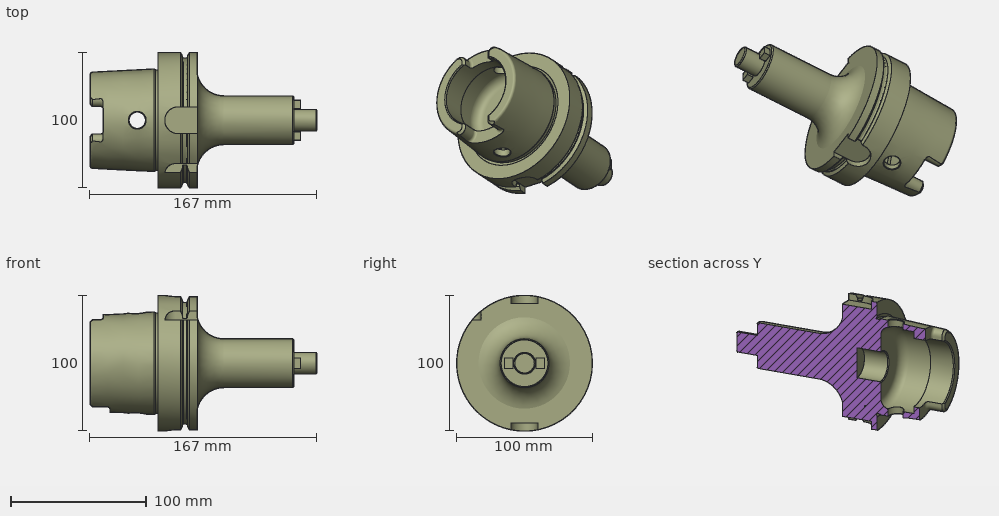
import cadquery as cq
import math


taper_end = 47.1
flange_start = 50.0
flange_end = 79.0
shank_start = 98.5
shank_end = 150.0
total_length = 167.0

taper_tip_radius = 35.4
taper_big_radius = 75.7 / 2
taper_tip_rounding = 2.0

relief_radius = 37.0
relief_bevel = 1.2
face_recess_radius = 39.4
face_recess_depth = 0.8

flange_radius = 100.0 / 2
groove_start = 66.5
groove_end = 73.1
groove_bevel_width = 1.5
groove_wall_radius = 47.5
groove_floor_radius = 46.0
groove_corner_rounding = 0.8

neck_rounding = 20.0
shank_radius = 18.0
pilot_radius = 8.0
end_chamfer = 0.8
key_length = 5.0
key_width = 7.7
key_span = 29.7
key_gap = 17.0

bore_radius = 26.5
bore_chamfer = 0.8
bore_lip_end = 19.7
chamber_radius = 31.7
chamber_floor = 46.8
chamber_rounding = 6.7
coolant_radius = 11.5
coolant_chamfer = 0.7
coolant_depth = 20.0

cross_hole_x = 34.7
cross_hole_radius = 6.0
cross_hole_chamfer = 0.5

mouth_slot_half_width = 10.0
mouth_slot_rounding = 5.0
mouth_slot_shoulder = 32.0
mouth_slot_depth_top = 9.7
mouth_slot_depth_bottom = 14.5
mouth_slot_floor_rounding = 2.0
mouth_slot_flare = 2.0
mouth_slot_flare_length = 1.7
mouth_slot_inner = 16.7

slot_start = 55.0
flange_slot_half_width = 9.9
flange_slot_floor = 44.0
notch_offset = 31.9
notch_corner_radius = 7.8

clear = 58.5


def revolve_about_x(profile):
    return profile.close().revolve(360, (0, 0, 0), (1, 0, 0))


def quarter_arc_inset(radius):
    """Distance from the midpoint of a rounded square corner to each of its two sides."""
    return radius * (1 - math.sqrt(0.5))


def make_outside():
    """Solid of revolution bounded by the outer faces."""
    recess_end = flange_start + face_recess_depth
    neck_center_radius = shank_radius + neck_rounding
    neck_angle = math.asin((shank_start - flange_end) / neck_rounding)

    def neck_point(angle):
        return (
            shank_start - neck_rounding * math.sin(angle),
            neck_center_radius - neck_rounding * math.cos(angle),
        )

    profile = (
        cq.Workplane("XY")
        .lineTo(0, taper_tip_radius)
        .lineTo(taper_end, taper_big_radius)
        .lineTo(taper_end + relief_bevel, relief_radius)
        .lineTo(recess_end, relief_radius)
        .lineTo(flange_start, face_recess_radius)
        .lineTo(flange_start, flange_radius)
        .lineTo(flange_end, flange_radius)
        .lineTo(*neck_point(neck_angle))
        .threePointArc(neck_point(neck_angle / 2), neck_point(0))
        .lineTo(shank_end - end_chamfer, shank_radius)
        .lineTo(shank_end, shank_radius - end_chamfer)
        .lineTo(shank_end, pilot_radius)
        .lineTo(total_length - end_chamfer, pilot_radius)
        .lineTo(total_length, pilot_radius - end_chamfer)
        .lineTo(total_length, 0)
    )
    return revolve_about_x(profile).faces("<X").edges().fillet(taper_tip_rounding)


def make_gripper_groove():
    """Ring with a bevelled mouth and rounded floor corners."""
    wall_start = groove_start + groove_bevel_width
    wall_end = groove_end - groove_bevel_width
    lower_profile = (
        cq.Workplane("XY")
        .moveTo(wall_start, groove_floor_radius)
        .lineTo(wall_start, clear)
        .lineTo(wall_end, clear)
        .lineTo(wall_end, groove_floor_radius)
    )
    bevel_profile = (
        cq.Workplane("XY")
        .moveTo(wall_start, groove_wall_radius)
        .lineTo(groove_start, flange_radius)
        .lineTo(groove_start, clear)
        .lineTo(groove_end, clear)
        .lineTo(groove_end, flange_radius)
        .lineTo(wall_end, groove_wall_radius)
    )
    floor_edges = cq.selectors.RadiusNthSelector(0)
    lower = revolve_about_x(lower_profile).edges(floor_edges).fillet(groove_corner_rounding)
    return lower.union(revolve_about_x(bevel_profile))


def make_bore():
    """Chamfered mouth, stepped-out round-cornered chamber and blind coolant bore."""
    rounding_start = chamber_floor - chamber_rounding
    arc_inset = quarter_arc_inset(chamber_rounding)
    coolant_mouth = coolant_radius + coolant_chamfer
    profile = (
        cq.Workplane("XY")
        .lineTo(0, bore_radius + bore_chamfer)
        .lineTo(bore_chamfer, bore_radius)
        .lineTo(bore_lip_end, bore_radius)
        .lineTo(bore_lip_end, chamber_radius)
        .lineTo(rounding_start, chamber_radius)
        .threePointArc(
            (chamber_floor - arc_inset, chamber_radius - arc_inset),
            (chamber_floor, chamber_radius - chamber_rounding),
        )
        .lineTo(chamber_floor, coolant_mouth)
        .lineTo(chamber_floor + coolant_chamfer, coolant_radius)
        .lineTo(chamber_floor + coolant_depth, coolant_radius)
        .lineTo(chamber_floor + coolant_depth, 0)
    )
    return revolve_about_x(profile)


def mouth_slot_outline(x, growth):
    """Slot section at x: parallel walls that round outward onto a shoulder, grown by an offset."""
    half_width = mouth_slot_half_width + growth
    rounding = mouth_slot_rounding - growth
    shoulder = mouth_slot_shoulder - growth
    arc_inset = quarter_arc_inset(rounding)
    arc_start = shoulder - rounding
    arc_end = half_width + rounding
    return (
        cq.Workplane("YZ", origin=(x, 0, 0))
        .moveTo(-half_width, mouth_slot_inner)
        .lineTo(-half_width, arc_start)
        .threePointArc((-half_width - arc_inset, shoulder - arc_inset), (-arc_end, shoulder))
        .lineTo(-clear, shoulder)
        .lineTo(-clear, clear)
        .lineTo(clear, clear)
        .lineTo(clear, shoulder)
        .lineTo(arc_end, shoulder)
        .threePointArc((half_width + arc_inset, shoulder - arc_inset), (half_width, arc_start))
        .lineTo(half_width, mouth_slot_inner)
        .close()
    )


def make_mouth_slot(depth):
    """Cutter for the +Z side, with a rounded floor corner and a flared entry."""
    slot = mouth_slot_outline(0, 0).extrude(depth)
    slot = slot.faces(">X").edges().fillet(mouth_slot_floor_rounding)
    entry_wire = mouth_slot_outline(0, mouth_slot_flare).val()
    inner_wire = mouth_slot_outline(mouth_slot_flare_length, 0).val()
    flare = cq.Solid.makeLoft([entry_wire, inner_wire], True)
    return slot.union(cq.Workplane(flare))


def make_flange_slot():
    """Round-ended slot on the +Z side, open toward +X and stopping at the flange end."""
    center_x = slot_start + flange_slot_half_width
    half_width = flange_slot_half_width
    return (
        cq.Workplane("XY", origin=(0, 0, flange_slot_floor))
        .moveTo(flange_end, -half_width)
        .lineTo(center_x, -half_width)
        .threePointArc((slot_start, 0), (center_x, half_width))
        .lineTo(flange_end, half_width)
        .close()
        .extrude(clear - flange_slot_floor)
    )


def make_orientation_notch():
    """Square-sided notch at the -Y +Z corner of the flange with a rounded inner end."""
    return (
        cq.Workplane("XY", origin=(0, 0, notch_offset))
        .moveTo(slot_start, -clear)
        .lineTo(flange_end, -clear)
        .lineTo(flange_end, -notch_offset)
        .lineTo(slot_start, -notch_offset)
        .close()
        .extrude(clear - notch_offset)
        .edges("|Z")
        .edges("<X and >Y")
        .fillet(notch_corner_radius)
    )


def flip_to_bottom(shape):
    return shape.rotate((0, 0, 0), (1, 0, 0), 180)


def add_cross_hole(body):
    """Hole through both taper walls along Z with broken outer edges."""
    hole = (
        cq.Workplane("XY", origin=(cross_hole_x, 0, -clear))
        .circle(cross_hole_radius)
        .extrude(2 * clear)
    )
    body = body.cut(hole)
    reach = cross_hole_radius + cross_hole_chamfer
    rim_inner = (chamber_radius + taper_tip_radius) / 2
    for side in (-1, 1):
        rim = cq.selectors.BoxSelector(
            (cross_hole_x - reach, -reach, side * rim_inner),
            (cross_hole_x + reach, reach, side * clear),
        )
        body = body.edges(rim).chamfer(cross_hole_chamfer)
    return body


def make_keys():
    """Two driving keys on the shank end, either side of the pilot."""
    key_height = (key_span - key_gap) / 2
    key_center = (key_span + key_gap) / 4
    return (
        cq.Workplane("YZ", origin=(shank_end, 0, 0))
        .pushPoints([(-key_center, 0), (key_center, 0)])
        .rect(key_height, key_width)
        .extrude(key_length)
    )


body = make_outside().cut(make_bore())
body = add_cross_hole(body)
body = body.cut(make_gripper_groove())
body = body.cut(make_mouth_slot(mouth_slot_depth_top))
body = body.cut(flip_to_bottom(make_mouth_slot(mouth_slot_depth_bottom)))
body = body.cut(make_flange_slot())
body = body.cut(flip_to_bottom(make_flange_slot()))
body = body.cut(make_orientation_notch())
result = body.union(make_keys())